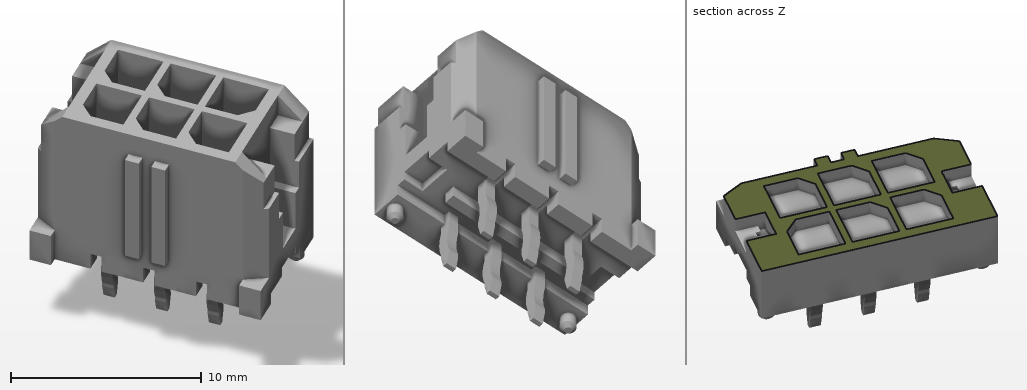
import cadquery as cq


width = 13.15
depth = 6.84
height = 9.9
half_width = width / 2
front = -depth / 2
back = depth / 2

shoulder_half = 6.33
shoulder_z = 6.75
top_half = 4.92
bevel_z = 8.55

foot_inner = 5.35
foot_reach = 0.53
foot_height = 2.0
slant_depth = 0.65

end_rib_inner = 2.5
wide_slot = 2.76
wide_slot_z = 4.97
narrow_slot = 1.74
narrow_slot_y = 0.03
narrow_slot_z = 2.52

sump_depth = 0.3
sump_outer = 5.31
notch_outer = 5.6
notch_width = 0.79

columns = 3
pitch = 3.0
pocket_size = 2.59
pocket_key = 0.72
pocket_floor = narrow_slot_z
column_places = [(i - (columns - 1) / 2) * pitch for i in range(columns)]
row_y = pitch / 2

underside_z = 0.72
back_wall_inner = 1.54
front_wall_inner = -2.5
arch_width = 2.0
arch_z = 1.32
standoff_y = 0.03
standoff_width = 0.65
standoff_length = (columns - 1) * pitch + pocket_size
pin_groove_z = 1.01

pin_size = 0.65
pin_row_center = 0.03
bend_top = -0.53
bend_bottom = -2.18
bend_offset = 0.15
taper_top = -2.43
pin_end = -3.18
pin_tip = 0.28

key_rib_width = 0.79
key_rib_center = 0.75

latch_width = 1.53
latch_reach = 1.41
latch_bottom = 7.39
latch_nose_top = 8.13
latch_ramp_top = 9.52
latch_fillet = 0.38

peg_x = 5.98
peg_y = 2.45
peg_diameter = 0.9
peg_length = 0.9
peg_chamfer = 0.24


def box(x0, x1, y0, y1, z0, z1):
    """Axis-aligned block between opposite limits."""
    return cq.Workplane("XY").box(x1 - x0, y1 - y0, z1 - z0, centered=False).translate((x0, y0, z0))


def mirrored(shape):
    """A shape together with its mirror image across X = 0."""
    return shape.union(shape.mirror("YZ"))


def make_shell():
    half_outline = [
        (0, 0), (half_width, 0), (half_width, shoulder_z), (shoulder_half, shoulder_z),
        (shoulder_half, bevel_z), (top_half, height), (0, height),
    ]
    half = cq.Workplane("XZ", origin=(0, back, 0)).polyline(half_outline).close().extrude(depth)
    slant = (
        cq.Workplane("XY", origin=(0, 0, foot_height))
        .polyline([(foot_inner, front), (half_width, front), (half_width, front + slant_depth)])
        .close()
        .extrude(height)
    )
    foot = box(foot_inner, half_width, front - foot_reach, front, 0, foot_height)
    return mirrored(half.cut(slant).union(foot))


def make_end_cuts():
    """Everything removed from the end walls, for both ends."""
    ledge = box(top_half, half_width, -end_rib_inner, end_rib_inner, bevel_z, height)
    wide = box(top_half, half_width, -wide_slot / 2, wide_slot / 2, wide_slot_z, height)
    narrow_front = narrow_slot_y - narrow_slot / 2
    narrow_back = narrow_slot_y + narrow_slot / 2
    narrow = box(top_half, half_width, narrow_front, narrow_back, narrow_slot_z, height)
    sump_z = narrow_slot_z - sump_depth
    sump = box(top_half, sump_outer, narrow_front, narrow_back, sump_z, narrow_slot_z)
    notch = box(top_half, notch_outer, -notch_width / 2, notch_width / 2, sump_z, narrow_slot_z)
    arch = box(sump_outer, half_width, -arch_width / 2, arch_width / 2, 0, arch_z)
    return mirrored(ledge.union(wide).union(narrow).union(sump).union(notch).union(arch))


def make_pocket(x, y, key_side):
    """Square pocket with one front corner cut off; key_side is -1 for left, 1 for right."""
    half = pocket_size / 2
    outline = [
        (key_side * half, half), (key_side * half, pocket_key - half),
        (key_side * (half - pocket_key), -half), (-key_side * half, -half), (-key_side * half, half),
    ]
    return (
        cq.Workplane("XY", origin=(x, y, pocket_floor))
        .polyline(outline)
        .close()
        .extrude(height - pocket_floor)
    )


def make_pin(x, side):
    """Solder tail bulging away from the housing's middle; side is -1 for front, 1 for back."""
    half = pin_size / 2
    bend_middle = (bend_top + bend_bottom) / 2
    tail = (
        cq.Workplane("YZ")
        .moveTo(-half, pin_groove_z)
        .lineTo(-half, bend_top)
        .threePointArc((bend_offset - half, bend_middle), (-half, bend_bottom))
        .lineTo(-half, taper_top)
        .lineTo(-pin_tip / 2, pin_end)
        .lineTo(pin_tip / 2, pin_end)
        .lineTo(half, taper_top)
        .lineTo(half, bend_bottom)
        .threePointArc((half + bend_offset, bend_middle), (half, bend_top))
        .lineTo(half, pin_groove_z)
        .close()
        .extrude(pin_size / 2, both=True)
    )
    if side < 0:
        tail = tail.mirror("XZ")
    return tail.translate((x, pin_row_center + side * row_y, 0))


def make_latch():
    tip = back + latch_reach
    corner = (back + latch_fillet, latch_bottom - latch_fillet)
    diagonal = latch_fillet * 0.5 ** 0.5
    return (
        cq.Workplane("YZ")
        .moveTo(back, latch_ramp_top)
        .lineTo(tip, latch_nose_top)
        .lineTo(tip, latch_bottom)
        .lineTo(back + latch_fillet, latch_bottom)
        .threePointArc(
            (corner[0] - diagonal, corner[1] + diagonal),
            (back, latch_bottom - latch_fillet),
        )
        .close()
        .extrude(latch_width / 2, both=True)
    )


def make_peg():
    return (
        cq.Workplane("XY", origin=(peg_x, peg_y, 0))
        .circle(peg_diameter / 2)
        .extrude(-peg_length)
        .faces("<Z")
        .chamfer(peg_chamfer)
    )


result = make_shell().cut(make_end_cuts())
result = result.cut(box(-half_width, half_width, front_wall_inner, back_wall_inner, 0, underside_z))

for x in column_places:
    for side in (-1, 1):
        key_side = 1 if side > 0 and x == column_places[-1] else -1
        result = result.cut(make_pocket(x, side * row_y, key_side))

for x in column_places:
    left = x - pin_size / 2
    right = x + pin_size / 2
    result = result.cut(box(left, right, front, pin_row_center - row_y, 0, pin_groove_z))

standoff_front = standoff_y - standoff_width / 2
standoff_back = standoff_y + standoff_width / 2
result = result.union(
    box(-standoff_length / 2, standoff_length / 2, standoff_front, standoff_back, 0, underside_z)
)

for x in column_places:
    for side in (-1, 1):
        result = result.union(make_pin(x, side))

key_rib_inner = key_rib_center - key_rib_width / 2
key_rib_outer = key_rib_center + key_rib_width / 2
key_rib = box(key_rib_inner, key_rib_outer, front - foot_reach, front, foot_height, bevel_z)
result = result.union(mirrored(key_rib)).union(make_latch()).union(mirrored(make_peg()))